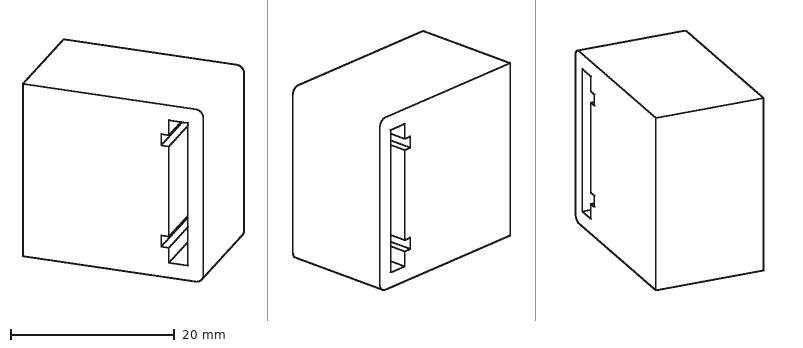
import cadquery as cq

length = 23.5
depth = 14.5
height = 23.0
corner_radius = 1.0

wall = 2.0
slot_width = 2.5
slot_height = height - 2 * wall

notch_depth = 1.0
notch_height = 1.5
notch_edge_distance = 4.0

slot_right = length / 2 - wall
slot_left = slot_right - slot_width
notch_z = height / 2 - notch_edge_distance - notch_height / 2


def through_cutter(left, right, center_z, cutter_height):
    """Box spanning the full depth of the block."""
    return cq.Workplane("XY").box(right - left, depth, cutter_height).translate(
        ((left + right) / 2, 0, center_z)
    )


block = cq.Workplane("XY").box(length, depth, height)
block = block.edges("|Y and >X").fillet(corner_radius)

opening = through_cutter(slot_left, slot_right, 0, slot_height)
for side in (-1, 1):
    notch = through_cutter(slot_left - notch_depth, slot_right, side * notch_z, notch_height)
    opening = opening.union(notch)

result = block.cut(opening)